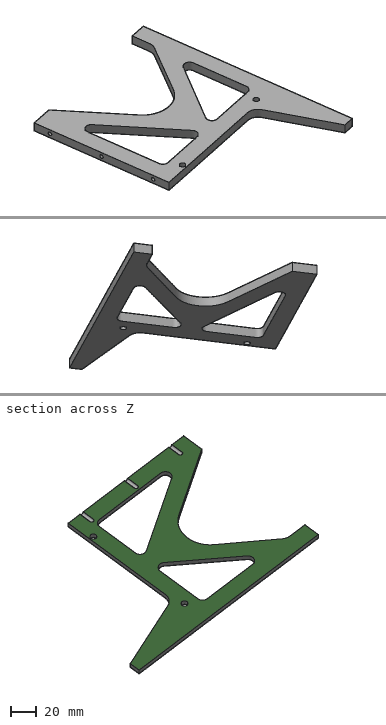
import cadquery as cq
import math

length = 200.0
depth = 148.0
thickness = 8.0

base_length = 129.0
bar_width = 15.0
left_foot_height = 20.0
arm_tip_width = 10.0
arm_root_y = 113.8
brace_start_x = 20.0
brace_meeting_point = (93.2, 74.0)

waist_radius = 25.0
arm_radius = 10.0
window_radius = 5.0

pin_diameter = 5.0
pin_edge_distance = 4.0
pin_heights = (24.0, 124.0)
screw_diameter = 3.2
screw_depth = 12.0
drill_point_angle = 118.0
screw_count = 3
screw_spacing = 49.5
first_screw_x = 15.0

window_right = base_length - bar_width
bar_edge_y = depth - bar_width
upper_window = [
    (44.5, bar_edge_y),
    (window_right, bar_edge_y),
    (window_right, 76.0),
]
lower_window = [
    (22.0, bar_width),
    (window_right, bar_width),
    (window_right, 68.0),
]


def make_outline_plate():
    """Frame with a waisted left side and a tapered arm on the right."""
    plate = (
        cq.Workplane("XY")
        .polyline([
            (0, 0),
            (base_length, 0),
            (base_length, arm_root_y),
            (length, depth - arm_tip_width),
            (length, depth),
            (0, depth),
            (0, bar_edge_y),
            (brace_start_x, bar_edge_y),
            brace_meeting_point,
            (0, left_foot_height),
        ])
        .close()
        .extrude(thickness)
    )
    for (x, y), radius in (
        ((base_length, arm_root_y), arm_radius),
        ((brace_start_x, bar_edge_y), arm_radius),
        (brace_meeting_point, waist_radius),
    ):
        corner = cq.selectors.NearestToPointSelector((x, y, thickness / 2))
        plate = plate.edges("|Z").edges(corner).fillet(radius)
    return plate


def make_window(corners):
    window = cq.Workplane("XY").polyline(corners).close().extrude(thickness)
    return window.edges("|Z").fillet(window_radius)


result = make_outline_plate()
for corners in (upper_window, lower_window):
    result = result.cut(make_window(corners))

pin_x = base_length - pin_edge_distance
pins = (
    cq.Workplane("XY")
    .pushPoints([(pin_x, y) for y in pin_heights])
    .circle(pin_diameter / 2)
    .extrude(thickness)
)
result = result.cut(pins)

screw_radius = screw_diameter / 2
drill_tip = screw_radius / math.tan(math.radians(drill_point_angle / 2))
for i in range(screw_count):
    screw_x = first_screw_x + i * screw_spacing
    screw_hole = (
        cq.Workplane("XY", origin=(screw_x, 0, thickness / 2))
        .polyline([
            (0, 0),
            (screw_radius, 0),
            (screw_radius, screw_depth),
            (0, screw_depth + drill_tip),
        ])
        .close()
        .revolve(360, (0, 0), (0, 1))
    )
    result = result.cut(screw_hole)